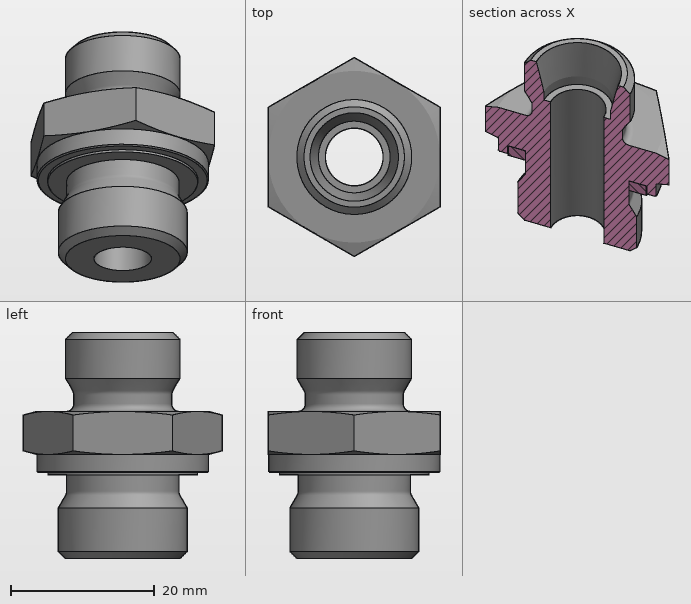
import cadquery as cq
import math

TOTAL_HEIGHT = 31.5
FLANGE_BOTTOM = 11.97
HEX_BOTTOM = 14.5
HEX_TOP = 20.5

HEX_ACROSS_FLATS = 24.0
HEX_CHAMFER_ANGLE = math.radians(15)

FLANGE_RADIUS = 23.9 / 2
FLANGE_CHAMFER = 0.2

STUD_RADIUS = 18.0 / 2
STUD_STRAIGHT_TOP = 7.05
STUD_NECK_RADIUS = 15.7 / 2
TUBE_END_RADIUS = 16.0 / 2
TUBE_END_STRAIGHT_BOTTOM = 25.1
TUBE_NECK_RADIUS = 13.7 / 2
END_CHAMFER = 1.0
UNDERCUT_ANGLE = math.radians(30)
NECK_FILLET = 1.0

BORE_RADIUS = 8.0 / 2
SOCKET_RADIUS = 10.0 / 2
SOCKET_MOUTH_RADIUS = 12.32 / 2
SOCKET_CONE_ANGLE = math.radians(12)
SOCKET_DEPTH = 7.0

SEAL_RADIUS = 20.9 / 2
SEAL_RECESS_RADIUS = 21.0 / 2
SEAL_RECESS_DEPTH = 1.5
SEAL_PROTRUSION = 0.3
SEAL_TOP = FLANGE_BOTTOM + SEAL_RECESS_DEPTH


def cylinder(radius, bottom, top):
    return cq.Workplane("XY").workplane(offset=bottom).circle(radius).extrude(top - bottom)


def ring(inner_radius, outer_radius, bottom, top):
    return cylinder(outer_radius, bottom, top).cut(cylinder(inner_radius, bottom, top))


def undercut_points(thread_radius, neck_radius, thread_z, direction):
    """Return the cone end, arc middle and arc end where a thread runs into its neck.

    The cone starts at thread_z and runs in direction (+1 up, -1 down).
    """
    def arc_point(angle):
        radius = neck_radius + NECK_FILLET * (1 - math.cos(angle))
        return radius, arc_end_z - direction * NECK_FILLET * math.sin(angle)

    cone_end_radius = neck_radius + NECK_FILLET * (1 - math.cos(UNDERCUT_ANGLE))
    cone_height = (thread_radius - cone_end_radius) / math.tan(UNDERCUT_ANGLE)
    arc_end_z = thread_z + direction * (cone_height + NECK_FILLET * math.sin(UNDERCUT_ANGLE))
    return arc_point(UNDERCUT_ANGLE), arc_point(UNDERCUT_ANGLE / 2), arc_point(0)


def make_stud_end():
    """Lower threaded end, reaching up into the flange."""
    cone_end, arc_middle, arc_end = undercut_points(
        STUD_RADIUS, STUD_NECK_RADIUS, STUD_STRAIGHT_TOP, 1)
    return (
        cq.Workplane("XZ")
        .lineTo(STUD_RADIUS - END_CHAMFER, 0)
        .lineTo(STUD_RADIUS, END_CHAMFER)
        .lineTo(STUD_RADIUS, STUD_STRAIGHT_TOP)
        .lineTo(*cone_end)
        .threePointArc(arc_middle, arc_end)
        .lineTo(STUD_NECK_RADIUS, HEX_BOTTOM)
        .lineTo(0, HEX_BOTTOM)
        .close()
        .revolve(360, (0, 0), (0, 1))
    )


def make_tube_end():
    """Upper threaded end, with a fillet where its neck meets the hexagon."""
    cone_end, arc_middle, arc_end = undercut_points(
        TUBE_END_RADIUS, TUBE_NECK_RADIUS, TUBE_END_STRAIGHT_BOTTOM, -1)
    fillet_inset = NECK_FILLET * (1 - math.sqrt(0.5))
    return (
        cq.Workplane("XZ")
        .moveTo(0, HEX_TOP)
        .lineTo(TUBE_NECK_RADIUS + NECK_FILLET, HEX_TOP)
        .threePointArc(
            (TUBE_NECK_RADIUS + fillet_inset, HEX_TOP + fillet_inset),
            (TUBE_NECK_RADIUS, HEX_TOP + NECK_FILLET))
        .lineTo(*arc_end)
        .threePointArc(arc_middle, cone_end)
        .lineTo(TUBE_END_RADIUS, TUBE_END_STRAIGHT_BOTTOM)
        .lineTo(TUBE_END_RADIUS, TOTAL_HEIGHT - END_CHAMFER)
        .lineTo(TUBE_END_RADIUS - END_CHAMFER, TOTAL_HEIGHT)
        .lineTo(0, TOTAL_HEIGHT)
        .close()
        .revolve(360, (0, 0), (0, 1))
    )


def make_hexagon():
    """Hexagon with corners toward +Y and -Y, chamfered by a cone at both ends."""
    across_corners = HEX_ACROSS_FLATS / math.cos(math.radians(30))
    prism = (
        cq.Workplane("XY")
        .workplane(offset=HEX_BOTTOM)
        .transformed(rotate=(0, 0, 90))
        .polygon(6, across_corners)
        .extrude(HEX_TOP - HEX_BOTTOM)
    )
    envelope_radius = across_corners / 2 + 0.3
    drop = (envelope_radius - FLANGE_RADIUS) * math.tan(HEX_CHAMFER_ANGLE)
    envelope = (
        cq.Workplane("XZ")
        .moveTo(0, HEX_BOTTOM)
        .lineTo(FLANGE_RADIUS, HEX_BOTTOM)
        .lineTo(envelope_radius, HEX_BOTTOM + drop)
        .lineTo(envelope_radius, HEX_TOP - drop)
        .lineTo(FLANGE_RADIUS, HEX_TOP)
        .lineTo(0, HEX_TOP)
        .close()
        .revolve(360, (0, 0), (0, 1))
    )
    return prism.intersect(envelope)


def make_flange():
    flange = cylinder(FLANGE_RADIUS, FLANGE_BOTTOM, HEX_BOTTOM)
    return flange.faces("<Z").edges().chamfer(FLANGE_CHAMFER)


def make_bore():
    """Through bore, tube seat and the tapered mouth above it."""
    cone_height = (SOCKET_MOUTH_RADIUS - SOCKET_RADIUS) / math.tan(SOCKET_CONE_ANGLE)
    seat_z = TOTAL_HEIGHT - SOCKET_DEPTH
    return (
        cq.Workplane("XZ")
        .lineTo(BORE_RADIUS, 0)
        .lineTo(BORE_RADIUS, seat_z)
        .lineTo(SOCKET_RADIUS, seat_z)
        .lineTo(SOCKET_RADIUS, TOTAL_HEIGHT - cone_height)
        .lineTo(SOCKET_MOUTH_RADIUS, TOTAL_HEIGHT)
        .lineTo(0, TOTAL_HEIGHT)
        .close()
        .revolve(360, (0, 0), (0, 1))
    )


def make_fitting():
    seal_recess = ring(STUD_NECK_RADIUS, SEAL_RECESS_RADIUS, FLANGE_BOTTOM, SEAL_TOP)
    return (
        make_hexagon()
        .union(make_flange())
        .union(make_stud_end())
        .union(make_tube_end())
        .cut(make_bore())
        .cut(seal_recess)
    )


def make_seal():
    """Sealing ring around the stud neck, standing slightly proud of the flange."""
    return ring(STUD_NECK_RADIUS, SEAL_RADIUS, FLANGE_BOTTOM - SEAL_PROTRUSION, SEAL_TOP)


fitting = make_fitting()
seal = make_seal()

result = cq.Compound.makeCompound([fitting.val(), seal.val()])